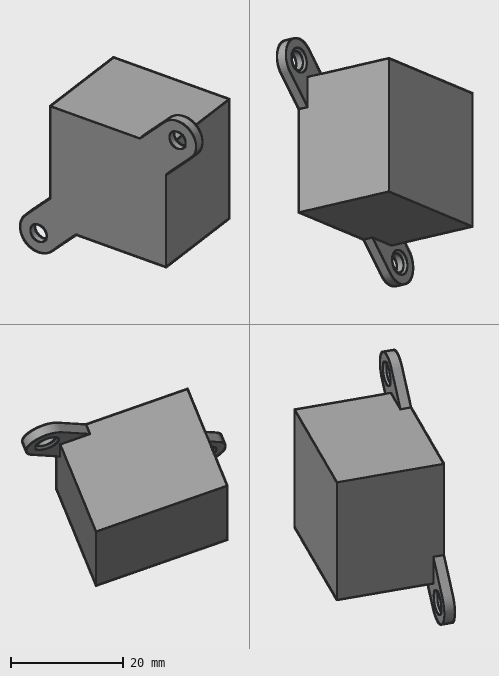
import cadquery as cq
import math

block_side = 25.0
block_depth = 20.0

strap_thickness = 2.0
strap_width = 8.0
strap_angle = 45.0

hole_spacing = 30.0
hole_diameter = 3.5
hole_chamfer = 0.5

hole_radius = hole_diameter / 2
hole_offset = hole_spacing / 2
hole_centers = [(-hole_offset, -hole_offset), (hole_offset, hole_offset)]
strap_length = math.hypot(hole_spacing, hole_spacing) + strap_width


def front_plane():
    """Front face of the part; a negative extrusion from it goes toward +Y."""
    return cq.Workplane("XZ")


def make_block():
    return front_plane().rect(block_side, block_side).extrude(-block_depth)


def make_strap():
    """Round-ended strap whose two ends form the mounting ears."""
    return front_plane().slot2D(strap_length, strap_width, strap_angle).extrude(-strap_thickness)


def make_hole_cutter(x, z):
    """Through hole with a 45 degree chamfer opening toward the back of the ear."""
    hole = front_plane().center(x, z).circle(hole_radius).extrude(-strap_thickness)
    chamfer = cq.Solid.makeCone(
        hole_radius,
        hole_radius + hole_chamfer,
        hole_chamfer,
        pnt=cq.Vector(x, strap_thickness - hole_chamfer, z),
        dir=cq.Vector(0, 1, 0),
    )
    return hole.union(cq.Workplane(obj=chamfer))


result = make_block().union(make_strap())
for hole_x, hole_z in hole_centers:
    result = result.cut(make_hole_cutter(hole_x, hole_z))